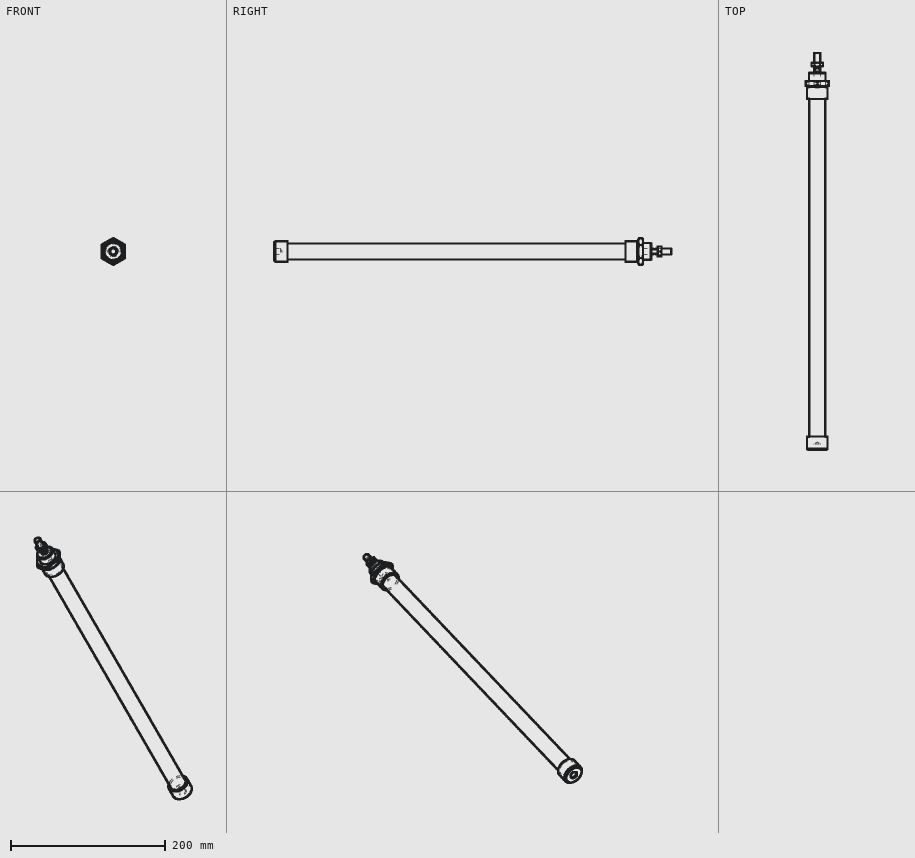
import cadquery as cq
import math

overall_length = 514.5

rod_diameter = 8.0
flats_width = 6.0
rod_tip_chamfer = 0.5
flats_start = 20.0
flats_end = 24.0

collar_diameter = 22.0
collar_start = 25.5
collar_chamfer = 1.25
head_diameter = 27.0
head_start = 44.5
head_end = 59.5
tube_diameter = 21.2
cap_length = 17.5
cap_chamfer = 2.0
rod_bore_depth = 20.0

port_diameter = 8.0
port_depth = 8.0
port_chamfer = 1.0
drill_point_angle = 118.0

mounting_nut_width = 30.0
mounting_nut_start = 36.5
mounting_nut_thickness = 6.5

rod_nut_width = 13.0
rod_nut_start = 12.75
rod_nut_thickness = 5.0

nut_chamfer_angle = 30.0


def revolve_profile(points):
    """Revolve a closed (radius, station) outline about the Y axis."""
    outline = [(radius, -station) for radius, station in points]
    return cq.Workplane("XY").polyline(outline).close().revolve(360, (0, 0), (0, 1))


def make_hex_nut(width, thickness, start, bore_diameter, corner_angle):
    """Hexagon nut whose corners are turned off conically on both faces."""
    corner_radius = width / math.sqrt(3)
    face_radius = width / 2
    chamfer = (corner_radius - face_radius) * math.tan(math.radians(nut_chamfer_angle))
    end = start + thickness
    prism = (
        cq.Workplane("XZ", origin=(0, -start, 0))
        .transformed(rotate=(0, 0, corner_angle))
        .polygon(6, 2 * corner_radius)
        .circle(bore_diameter / 2)
        .extrude(thickness)
    )
    chamfer_envelope = revolve_profile([
        (0, start),
        (face_radius, start),
        (corner_radius, start + chamfer),
        (corner_radius, end - chamfer),
        (face_radius, end),
        (0, end),
    ])
    return prism.intersect(chamfer_envelope)


def make_piston_rod():
    """Chamfered rod that ends at the floor of the housing bore."""
    rod_radius = rod_diameter / 2
    rod_end = collar_start + rod_bore_depth
    rod = revolve_profile([
        (0, 0),
        (rod_radius - rod_tip_chamfer, 0),
        (rod_radius, rod_tip_chamfer),
        (rod_radius, rod_end),
        (0, rod_end),
    ])
    flats_length = flats_end - flats_start
    flats_middle = (flats_start + flats_end) / 2
    for side in (1, -1):
        cutter = cq.Workplane("XY").box(rod_diameter, flats_length, rod_diameter)
        cutter_height = side * (flats_width + rod_diameter) / 2
        rod = rod.cut(cutter.translate((0, -flats_middle, cutter_height)))
    return rod


def make_housing():
    """Collar, front head, tube and rear cap, with the rod bore and the rear port."""
    rod_radius = rod_diameter / 2
    collar_radius = collar_diameter / 2
    head_radius = head_diameter / 2
    tube_radius = tube_diameter / 2
    port_radius = port_diameter / 2
    cap_start = overall_length - cap_length
    port_floor = overall_length - port_depth
    rod_bore_floor = collar_start + rod_bore_depth
    drill_point = port_radius / math.tan(math.radians(drill_point_angle / 2))
    return revolve_profile([
        (rod_radius, collar_start),
        (collar_radius - collar_chamfer, collar_start),
        (collar_radius, collar_start + collar_chamfer),
        (collar_radius, head_start),
        (head_radius, head_start),
        (head_radius, head_end),
        (tube_radius, head_end),
        (tube_radius, cap_start),
        (head_radius, cap_start),
        (head_radius, overall_length - cap_chamfer),
        (head_radius - cap_chamfer, overall_length),
        (port_radius + port_chamfer, overall_length),
        (port_radius, overall_length - port_chamfer),
        (port_radius, port_floor),
        (0, port_floor - drill_point),
        (0, rod_bore_floor),
        (rod_radius, rod_bore_floor),
    ])


housing = make_housing()
piston_rod = make_piston_rod()
mounting_nut = make_hex_nut(
    mounting_nut_width, mounting_nut_thickness, mounting_nut_start, collar_diameter, corner_angle=90
)
rod_nut = make_hex_nut(
    rod_nut_width, rod_nut_thickness, rod_nut_start, rod_diameter, corner_angle=0
)

result = cq.Compound.makeCompound([
    housing.val(),
    piston_rod.val(),
    mounting_nut.val(),
    rod_nut.val(),
])